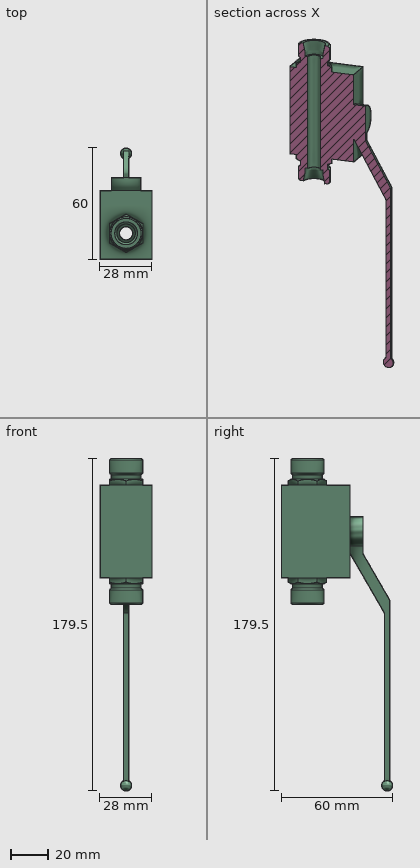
import cadquery as cq
import math


block_width = 28.0
block_height = 50.0
block_back_y = 23.0
block_front_y = -14.0

hex_across_flats = 18.0
hex_height = 3.2
hex_face_diameter = 17.6
hex_chamfer_angle = math.radians(30)

thread_diameter = 18.0
thread_root_diameter = 16.16
fitting_length = 14.5
thread_length = 8.0

bore_diameter = 7.0
socket_diameter = 10.0
socket_depth = 7.5
cone_mouth_diameter = 12.3
cone_half_angle = math.radians(12)

hub_diameter = 16.0
hub_length = 7.0
lever_thickness = 3.0
lever_bend_z = -12.0
lever_crank_angle = math.radians(30)
grip_center_y = 43.0
grip_diameter = 6.0
grip_end_z = -140.0

block_depth = block_back_y - block_front_y
block_top = block_height / 2
fitting_end = block_top + fitting_length
hub_back_y = block_back_y + hub_length
hex_corner_radius = hex_across_flats / math.sqrt(3)
thread_radius = thread_diameter / 2
root_radius = thread_root_diameter / 2
thread_depth = thread_radius - root_radius


def make_block():
    center_y = (block_back_y + block_front_y) / 2
    return cq.Workplane("XY").box(block_width, block_depth, block_height).translate((0, center_y, 0))


def revolve_about_z(radius_height_points):
    profile = cq.Workplane("XZ").polyline(radius_height_points).close()
    return profile.revolve(360, (0, 0, 0), (0, 1, 0))


def make_hex_collar():
    """Hexagon standing on the block top, its outer corners cut back by a 30 degree cone."""
    prism = (
        cq.Workplane("XY")
        .workplane(offset=block_top)
        .transformed(rotate=(0, 0, 90))
        .polygon(6, 2 * hex_corner_radius)
        .extrude(hex_height)
    )
    hex_top = block_top + hex_height
    face_radius = hex_face_diameter / 2
    cone_drop = (hex_corner_radius - face_radius) * math.tan(hex_chamfer_angle)
    corner_trim = revolve_about_z([
        (0, block_top),
        (hex_corner_radius, block_top),
        (hex_corner_radius, hex_top - cone_drop),
        (face_radius, hex_top),
        (0, hex_top),
    ])
    return prism.intersect(corner_trim)


def make_threaded_end():
    """Neck at root diameter, then the plain thread cylinder with both ends chamfered at 45 degrees."""
    thread_start = fitting_end - thread_length
    return revolve_about_z([
        (0, block_top),
        (root_radius, block_top),
        (root_radius, thread_start - thread_depth),
        (thread_radius, thread_start),
        (thread_radius, fitting_end - thread_depth),
        (root_radius, fitting_end),
        (0, fitting_end),
    ])


def make_socket_cutter():
    socket_radius = socket_diameter / 2
    mouth_radius = cone_mouth_diameter / 2
    socket_floor = fitting_end - socket_depth
    cone_depth = (mouth_radius - socket_radius) / math.tan(cone_half_angle)
    return revolve_about_z([
        (0, socket_floor),
        (socket_radius, socket_floor),
        (socket_radius, fitting_end - cone_depth),
        (mouth_radius, fitting_end),
        (0, fitting_end),
    ])


def make_bore_cutter():
    return cq.Workplane("XY").circle(bore_diameter / 2).extrude(fitting_end, both=True)


def make_lever():
    """Round hub on the block and a flat bar cranked outward, ending in a ball."""
    hub = (
        cq.Workplane("XZ", origin=(0, block_back_y, 0))
        .circle(hub_diameter / 2)
        .extrude(-hub_length)
    )
    grip_center_z = grip_end_z + grip_diameter / 2
    bar_inner_y = grip_center_y - lever_thickness / 2
    bar_outer_y = grip_center_y + lever_thickness / 2
    inner_crank_z = lever_bend_z - (bar_inner_y - block_back_y) / math.tan(lever_crank_angle)
    outer_crank_z = lever_bend_z - (bar_outer_y - hub_back_y) / math.tan(lever_crank_angle)
    bar = (
        cq.Workplane("YZ")
        .polyline([
            (block_back_y, 0),
            (block_back_y, lever_bend_z),
            (bar_inner_y, inner_crank_z),
            (bar_inner_y, grip_center_z),
            (bar_outer_y, grip_center_z),
            (bar_outer_y, outer_crank_z),
            (hub_back_y, lever_bend_z),
            (hub_back_y, 0),
        ])
        .close()
        .extrude(lever_thickness / 2, both=True)
    )
    grip = cq.Workplane("XY").sphere(grip_diameter / 2).translate((0, grip_center_y, grip_center_z))
    return hub.union(bar).union(grip)


upper_fitting = make_hex_collar().union(make_threaded_end())
upper_socket = make_socket_cutter()

result = make_block().union(make_lever())
for fitting in (upper_fitting, upper_fitting.mirror("XY")):
    result = result.union(fitting)
for socket in (upper_socket, upper_socket.mirror("XY")):
    result = result.cut(socket)
result = result.cut(make_bore_cutter())